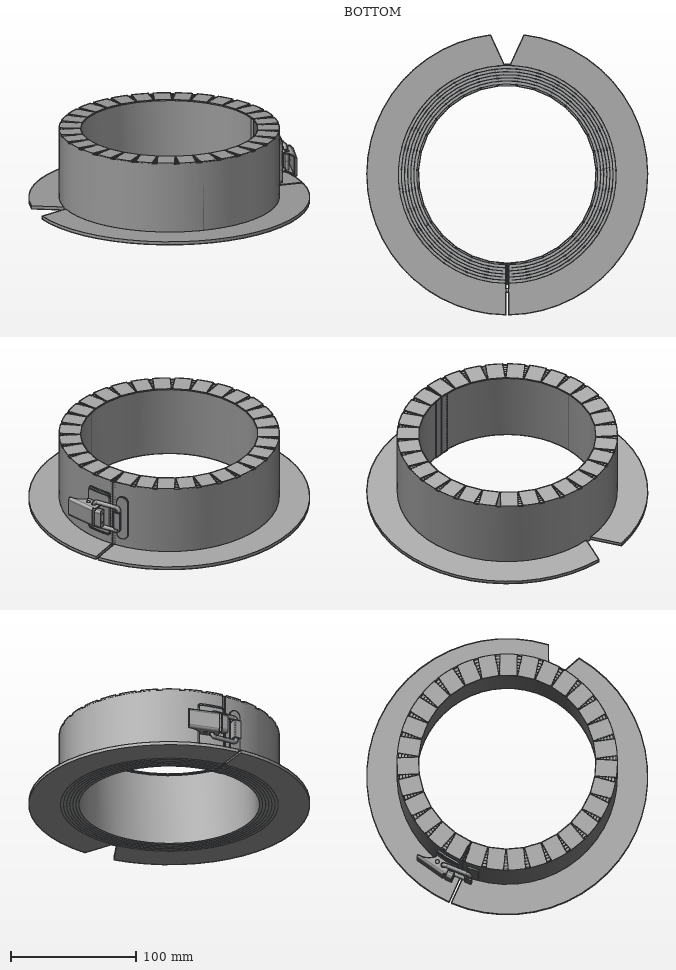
import cadquery as cq
flange_radius = 112.3
flange_thickness = 2.7
collar_radius = 88.0
collar_height = 60.9
sheet = 1.0

wall_gap = 0.7
flange_gap = 2.0
notch_apex = 82.5
notch_slope = 0.46
notch_overrun = 2.2

tab_count = 31
tab_width = 14.0
tab_inner_edge = 70.5

layer_count = 6
layer_thickness = 2.5
slit_width = 0.1

latch_height_center = 29.7
plate_height = 38.2
plate_thickness = 1.5
pad_thickness = 1.0

catch_left = -14.0
catch_right = -4.5
catch_corner = 4.5
hook_top = 96.0
hook_left = -10.8
hook_right = -4.83
hook_tip = 94.0
hook_sheet = 1.1
hook_corner = 1.3
hook_width = 15.3

base_left = 2.2
base_right = 23.0
base_corner = 1.8
pad_height = 35.0

wire_diameter = 3.4
wire_left = -8.3
wire_right = 14.4
wire_y = 92.8
wire_half_span = 10.5
wire_bend = 3.0
wire_tilt = 1.5
wire_hole_diameter = 4.0

lever_width = 16.6
lever_wall = 1.1
lever_round = 2.0
lever_left = 9.5
lever_heel = 23.0
lever_heel_arc = 20.2
lever_foot = 86.5
nose_round = 1.8
lever_heel_y = 89.5
handle_left = 11.7
handle_right = 36.6
handle_top = 100.6
handle_end_top = 95.5
handle_end_bottom = 93.7
handle_under_x = 31.5
handle_lip = 2.7
web_thickness = 2.0
nose_left = 4.0
nose_bottom = 94.8
nose_top = 100.9
saddle_y = 99.3
nose_width = 15.3
nose_opening = 8.0
nose_wall = 1.3

pin_diameter = 3.1
pin_x = 20.0
pin_y = 92.5

wall_inner_radius = collar_radius - sheet
lining_height = collar_height - sheet
lining_inner_radius = wall_inner_radius - layer_count * layer_thickness
clip_inner_radius = lining_inner_radius - sheet
clip_half_width = 6.5
leg_outer_face = wall_gap / 2 + sheet
plate_radius = collar_radius + plate_thickness
pad_radius = plate_radius + pad_thickness


def ring(outer, inner, height):
    return cq.Workplane("XY").circle(outer).circle(inner).extrude(height)


def block(x0, x1, y0, y1, z0, z1):
    return cq.Workplane("XY").box(x1 - x0, y1 - y0, z1 - z0, centered=False).translate((x0, y0, z0))


def rectangle(x0, x1, y0, y1):
    return cq.Workplane("XY").center((x0 + x1) / 2, (y0 + y1) / 2).rect(x1 - x0, y1 - y0)


def centered_slab(profile, width):
    """Extrude a closed plan profile to a width centred on the latch height."""
    return profile.extrude(width / 2, both=True).translate((0, 0, latch_height_center))


def make_flange():
    flange = ring(flange_radius, wall_inner_radius, flange_thickness)
    gap = block(-flange_gap / 2, flange_gap / 2, collar_radius, flange_radius, 0, flange_thickness)
    far = flange_radius + notch_overrun
    half_far = notch_slope * (far - notch_apex)
    notch = (
        cq.Workplane("XY")
        .polyline([(0, -notch_apex), (-half_far, -far), (half_far, -far)])
        .close()
        .extrude(flange_thickness)
    )
    return flange.cut(gap).cut(notch)


def make_tabs():
    blank = block(-tab_width / 2, tab_width / 2, -collar_radius, -tab_inner_edge, lining_height, collar_height)
    tab = blank.intersect(cq.Workplane("XY").circle(collar_radius).extrude(collar_height))
    return [tab.rotate((0, 0, 0), (0, 0, 1), i * 360 / tab_count) for i in range(tab_count)]


def make_clips():
    """Wall ends turned inward along the split, then outward along the lining's inner face."""
    legs = ring(collar_radius, clip_inner_radius, lining_height).intersect(
        block(-leg_outer_face, leg_outer_face, 0, collar_radius, 0, lining_height)
    )
    feet = ring(lining_inner_radius, clip_inner_radius, lining_height).intersect(
        block(-clip_half_width, clip_half_width, 0, collar_radius, 0, lining_height)
    )
    return legs.union(feet)


def make_casing():
    wall = ring(collar_radius, wall_inner_radius, lining_height)
    casing = wall.union(make_flange()).union(make_clips())
    casing = casing.cut(block(-wall_gap / 2, wall_gap / 2, 0, collar_radius, 0, lining_height))
    for tab in make_tabs():
        casing = casing.union(tab)
    return casing


def make_lining():
    lining = ring(wall_inner_radius, lining_inner_radius, lining_height)
    lining = lining.cut(block(-leg_outer_face, leg_outer_face, 0, collar_radius, 0, lining_height))
    fold_edge = leg_outer_face + layer_thickness
    for i in range(1, layer_count):
        radius = lining_inner_radius + i * layer_thickness
        slit = ring(radius + slit_width / 2, radius - slit_width / 2, lining_height)
        fold = block(0, fold_edge, 0, collar_radius, 0, lining_height)
        if i % 2 == 0:
            fold = fold.mirror("YZ")
        lining = lining.cut(slit.cut(fold))
    return lining


def curved_plate(left, right, inner, outer, height, corner):
    """Plate bent to the collar, with its four corners rounded."""
    outline = (
        cq.Workplane("XZ")
        .center((left + right) / 2, latch_height_center)
        .rect(right - left, height)
        .extrude(-flange_radius)
        .edges("|Y")
        .fillet(corner)
    )
    return ring(outer, inner, collar_height).intersect(outline)


def make_catch():
    plate = curved_plate(catch_left, catch_right, collar_radius, plate_radius, plate_height, catch_corner)
    foot = collar_radius + plate_thickness / 2
    profile = (
        cq.Workplane("XY")
        .moveTo(hook_right, foot)
        .lineTo(hook_right, hook_top - hook_corner)
        .radiusArc((hook_right - hook_corner, hook_top), -hook_corner)
        .lineTo(hook_left, hook_top)
        .lineTo(hook_left, hook_tip)
        .lineTo(hook_left + hook_sheet, hook_tip)
        .lineTo(hook_left + hook_sheet, hook_top - hook_sheet)
        .lineTo(hook_right - hook_sheet, hook_top - hook_sheet)
        .lineTo(hook_right - hook_sheet, foot)
        .close()
    )
    return plate.union(centered_slab(profile, hook_width))


def make_base():
    plate = curved_plate(base_left, base_right, collar_radius, plate_radius, plate_height, base_corner)
    pad = curved_plate(base_left, base_right, plate_radius, pad_radius, pad_height, base_corner)
    return plate.union(pad)


def tilt_loop(shape):
    """Turn a shape with the loop, about the vertical line through the loop's middle."""
    middle = (wire_left + wire_right) / 2
    return shape.rotate((middle, wire_y, 0), (middle, wire_y, 1), wire_tilt)


def make_loop():
    """Round wire bent into a closed rectangle with rounded corners."""
    half = wire_half_span
    straight = half - wire_bend
    inner_left = wire_left + wire_bend
    inner_right = wire_right - wire_bend
    path = (
        cq.Workplane("XZ", origin=(0, wire_y, latch_height_center))
        .moveTo(wire_left, 0)
        .lineTo(wire_left, straight)
        .tangentArcPoint((inner_left, half), relative=False)
        .lineTo(inner_right, half)
        .tangentArcPoint((wire_right, straight), relative=False)
        .lineTo(wire_right, -straight)
        .tangentArcPoint((inner_right, -half), relative=False)
        .lineTo(inner_left, -half)
        .tangentArcPoint((wire_left, -straight), relative=False)
        .close()
    )
    section = cq.Workplane("XY", origin=(wire_left, wire_y, latch_height_center)).circle(wire_diameter / 2)
    return tilt_loop(section.sweep(path))


def latch_rod(x, y, diameter, length):
    """Round rod standing along Z, centred on the latch height."""
    return centered_slab(cq.Workplane("XY").center(x, y).circle(diameter / 2), length)


def make_lever_shell():
    """Handle web with a cheek on each side, resting on the base plate."""
    profile = (
        cq.Workplane("XY")
        .moveTo(lever_left, lever_foot)
        .lineTo(lever_heel, lever_foot)
        .lineTo(lever_heel, lever_heel_y)
        .radiusArc((handle_under_x, handle_end_bottom), lever_heel_arc)
        .lineTo(handle_right, handle_end_bottom)
        .lineTo(handle_right, handle_end_top)
        .lineTo(handle_left, handle_top)
        .lineTo(handle_left, saddle_y)
        .lineTo(lever_left, saddle_y)
        .close()
    )
    top_edges = cq.selectors.BoxSelector(
        (handle_left, handle_end_top, 0), (handle_right, handle_top, collar_height)
    )
    solid = centered_slab(profile, lever_width)
    solid = solid.edges(top_edges).edges("not |Z").edges("not |Y").fillet(lever_round)
    cavity_right = handle_right - handle_lip
    handle_slope = (handle_top - handle_end_top) / (handle_right - handle_left)
    cavity_end_top = handle_end_top + handle_slope * handle_lip - web_thickness
    cavity = (
        cq.Workplane("XY")
        .moveTo(lever_left, lever_foot)
        .lineTo(cavity_right, lever_foot)
        .lineTo(cavity_right, cavity_end_top)
        .lineTo(lever_left, saddle_y - lever_wall)
        .close()
    )
    return solid.cut(centered_slab(cavity, lever_width - 2 * lever_wall))


def make_lever():
    nose_outline = rectangle(nose_left, lever_left, nose_bottom, nose_top)
    nose = centered_slab(nose_outline, nose_width).edges("|X").fillet(nose_round)
    opening_outline = rectangle(nose_left, lever_left, nose_bottom + nose_wall, nose_top - nose_wall)
    opening = centered_slab(opening_outline, nose_opening)
    lever = make_lever_shell().union(nose).cut(opening)
    lever = lever.cut(cq.Workplane("XY").circle(pad_radius).extrude(collar_height))
    lever = lever.cut(latch_rod(pin_x, pin_y, pin_diameter, lever_width))
    wire_hole = latch_rod(wire_right, wire_y, wire_hole_diameter, lever_width)
    return lever.cut(tilt_loop(wire_hole))


def make_pin():
    return latch_rod(pin_x, pin_y, pin_diameter, lever_width)


casing = make_casing()
lining = make_lining()
catch = make_catch()
base = make_base()
loop = make_loop()
lever = make_lever()
pin = make_pin()

bodies = [casing, lining, catch, base, loop, lever, pin]
result = cq.Compound.makeCompound([body.val() for body in bodies])